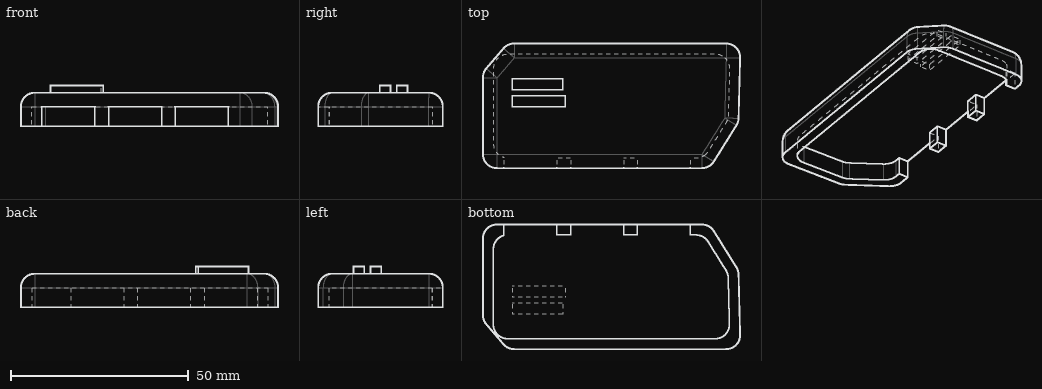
import cadquery as cq

length = 72.5
width = 35.15
edge_radius = 4.0
wall_height = 5.5
wall_thickness = 3.0
cavity_radius = 4.0
strip_height = 2.0

body_height = wall_height + edge_radius

flat_left = edge_radius
flat_right = length - edge_radius
flat_front = edge_radius
flat_back = width - edge_radius

back_left_clip_x = 4.85
back_left_clip_y = 5.65
front_right_clip_x = 6.8
front_right_clip_y = 10.2
right_end_lean = 0.4

front_and_right_corners = [
    (flat_left, flat_front),
    (flat_right - front_right_clip_x, flat_front),
    (flat_right - right_end_lean, flat_front + front_right_clip_y),
    (flat_right, flat_back),
]
clipped_back_left = [
    (flat_left + back_left_clip_x, flat_back),
    (flat_left, flat_back - back_left_clip_y),
]
square_back_left = [(flat_left, flat_back)]

opening_width = 14.9
first_opening_x = 5.95
opening_pitch = 18.8
opening_count = 3

strip_x = 8.3
strip_depth = 3.1
front_strip_y = 17.3
front_strip_length = 14.9
back_strip_y = 22.1
back_strip_length = 14.2

rim_clearance = 0.01


def block(x, y, z, size_x, size_y, size_z):
    """A box placed by its lowest corner."""
    return cq.Workplane("XY").box(size_x, size_y, size_z, centered=False).translate((x, y, z))


def make_body():
    """Solid with round upright corners and a fully rounded top rim."""
    corners = front_and_right_corners + clipped_back_left
    outline = cq.Workplane("XY").polyline(corners).close().offset2D(edge_radius, "arc")
    return outline.extrude(body_height).faces(">Z").edges().fillet(edge_radius - rim_clearance)


def make_cavity():
    """Space inside the wall; its back left corner is rounded but not clipped."""
    corners = front_and_right_corners + square_back_left
    outline = cq.Workplane("XY").polyline(corners).close()
    outline = outline.offset2D(edge_radius - wall_thickness, "intersection")
    return outline.extrude(wall_height).edges("|Z").fillet(cavity_radius)


def make_opening(index):
    """One gap in the front wall, as tall as the wall and reaching into the cavity."""
    x = first_opening_x + index * opening_pitch
    return block(x, 0, 0, opening_width, cavity_radius + wall_thickness, wall_height)


result = make_body().cut(make_cavity())

for index in range(opening_count):
    result = result.cut(make_opening(index))

for y, strip_length in ((front_strip_y, front_strip_length), (back_strip_y, back_strip_length)):
    result = result.union(block(strip_x, y, body_height, strip_length, strip_depth, strip_height))